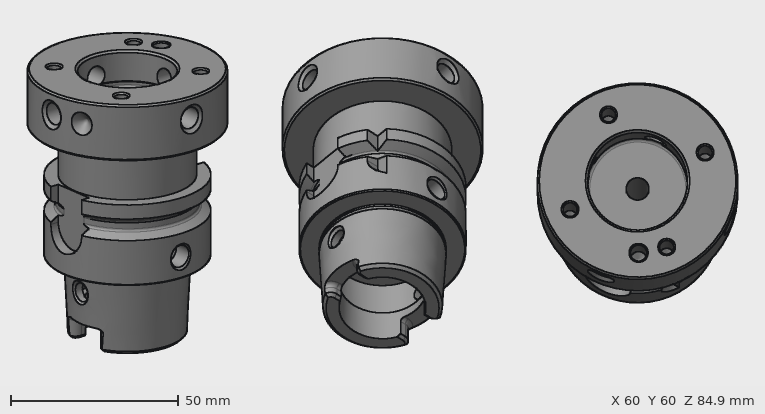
import cadquery as cq
import math


HEAD_TOP = 60.0
HEAD_RADIUS = 30.0
HEAD_THICKNESS = 18.0
HEAD_CHAMFER = 0.6
HEAD_BOTTOM = HEAD_TOP - HEAD_THICKNESS

NECK_RADIUS = 20.75
FLANGE_RADIUS = 25.0
FLANGE_HEIGHT = 26.0
FLANGE_CHAMFER = 0.4
GRIP_CENTER_Z = 18.0
GRIP_FLOOR_RADIUS = 21.6
GRIP_FLOOR_WIDTH = 3.0
GRIP_ANGLE = 30.0
GRIP_CORNER_RADIUS = 1.0

SHANK_LENGTH = 24.9
SHANK_GAUGE_RADIUS = 19.05
SHANK_GAUGE_Z = -2.0
SHANK_TAPER = 0.05
SHANK_END_CHAMFER = 1.0
RELIEF_RADIUS = 18.85
RELIEF_STEP = 0.7
RELIEF_TOP_RADIUS = 19.05
RELIEF_TOP_Z = -0.6
SHANK_END_RADIUS = SHANK_GAUGE_RADIUS - SHANK_TAPER * (SHANK_LENGTH + SHANK_GAUGE_Z)

COOLANT_RADIUS = 3.4
MOUTH_RADIUS = 13.0
CAVITY_RADIUS = 15.4
CAVITY_BOTTOM_Z = -14.0
CAVITY_TOP_Z = 0.0
BORE_RADIUS = 14.9
BORE_DEPTH = 12.0
BORE_CHAMFER = 0.7
UNDERCUT_RADIUS = 15.3
UNDERCUT_HEIGHT = 2.2
UNDERCUT_FILLET = 0.9

DRILL_POINT_ANGLE = 118.0
HOLE_CIRCLE_RADIUS = 22.0
BOLT_RADIUS = 2.1
BOLT_CHAMFER = 0.5
BOLT_DEPTH = 12.0
BOLT_ANGLES = (45.0, 135.0, 225.0, 315.0)
PIN_RADIUS = 2.45
PIN_CHAMFER = 0.4
PIN_DEPTH = 10.0
PIN_ANGLE = 112.5
SET_SCREW_Z = 52.8
SET_SCREW_RADIUS = 3.4
SET_SCREW_CHAMFER = 1.2
SET_SCREW_ANGLES = (0.0, 90.0, 180.0, 270.0)
DIMPLE_RADIUS = 3.65
DIMPLE_POINT_ANGLE = 90.0
DIMPLE_ANGLE = -67.5
FLANGE_HOLE_Z = 7.0
FLANGE_HOLE_RADIUS = 3.5
FLANGE_HOLE_CHAMFER = 0.7
FLANGE_HOLE_DEPTH = 6.5
FLANGE_HOLE_ANGLES = (0.0, 180.0)
ACCESS_HOLE_Z = -7.4
ACCESS_HOLE_RADIUS = 2.95
ACCESS_HOLE_CHAMFER = 0.9
ACCESS_HOLE_ANGLES = (90.0, 270.0)

KEYWAY_HALF_WIDTH = 7.1
KEYWAY_FLOOR = 21.1
KEYWAY_BOTTOM_Z = 6.9

NOTCH_WALL = 15.5
NOTCH_CUTTER_RADIUS = 6.0
NOTCH_CENTER_Z = 13.0

SLOT_HALF_WIDTH = 5.33
SLOT_FLAT = 16.3
SLOT_EDGE_RADIUS = 2.67
SLOT_FILLET = 1.3
SLOT_FLARE_ANGLE = 45.0
FRONT_SLOT_TOP_Z = -17.4
BACK_SLOT_TOP_Z = -20.4

CLEARANCE = 5.0


def make_outside():
    """Revolved outside: head disc, neck, gripper flange and taper shank."""
    grip_angle = math.radians(GRIP_ANGLE)
    half_floor = GRIP_FLOOR_WIDTH / 2
    half_mouth = half_floor + (FLANGE_RADIUS - GRIP_FLOOR_RADIUS) * math.tan(grip_angle)
    corner_tangent = GRIP_CORNER_RADIUS * math.tan((math.pi / 2 - grip_angle) / 2)
    wall_start_radius = GRIP_FLOOR_RADIUS + corner_tangent * math.cos(grip_angle)
    wall_start_half = half_floor + corner_tangent * math.sin(grip_angle)
    flat_half = half_floor - corner_tangent
    profile = (
        cq.Workplane("XZ")
        .moveTo(0, HEAD_TOP)
        .lineTo(HEAD_RADIUS - HEAD_CHAMFER, HEAD_TOP)
        .lineTo(HEAD_RADIUS, HEAD_TOP - HEAD_CHAMFER)
        .lineTo(HEAD_RADIUS, HEAD_BOTTOM + HEAD_CHAMFER)
        .lineTo(HEAD_RADIUS - HEAD_CHAMFER, HEAD_BOTTOM)
        .lineTo(NECK_RADIUS, HEAD_BOTTOM)
        .lineTo(NECK_RADIUS, FLANGE_HEIGHT)
        .lineTo(FLANGE_RADIUS, FLANGE_HEIGHT)
        .lineTo(FLANGE_RADIUS, GRIP_CENTER_Z + half_mouth)
        .lineTo(wall_start_radius, GRIP_CENTER_Z + wall_start_half)
        .radiusArc((GRIP_FLOOR_RADIUS, GRIP_CENTER_Z + flat_half), -GRIP_CORNER_RADIUS)
        .lineTo(GRIP_FLOOR_RADIUS, GRIP_CENTER_Z - flat_half)
        .radiusArc((wall_start_radius, GRIP_CENTER_Z - wall_start_half), -GRIP_CORNER_RADIUS)
        .lineTo(FLANGE_RADIUS, GRIP_CENTER_Z - half_mouth)
        .lineTo(FLANGE_RADIUS, FLANGE_CHAMFER)
        .lineTo(FLANGE_RADIUS - FLANGE_CHAMFER, 0)
        .lineTo(RELIEF_TOP_RADIUS, 0)
        .lineTo(RELIEF_RADIUS, RELIEF_TOP_Z)
        .lineTo(RELIEF_RADIUS, SHANK_GAUGE_Z + RELIEF_STEP)
        .lineTo(SHANK_GAUGE_RADIUS, SHANK_GAUGE_Z)
        .lineTo(SHANK_END_RADIUS, SHANK_END_CHAMFER - SHANK_LENGTH)
        .lineTo(SHANK_END_RADIUS - SHANK_END_CHAMFER, -SHANK_LENGTH)
        .lineTo(0, -SHANK_LENGTH)
        .close()
    )
    return profile.revolve(360, (0, 0, 0), (0, 1, 0))


def make_bar(radius, bottom_z, top_z):
    """Round bar on the part's axis."""
    return cq.Workplane("XY", origin=(0, 0, bottom_z)).circle(radius).extrude(top_z - bottom_z)


def make_openings():
    """Head bore with an undercut at its floor, coolant hole, and shank cavity behind a narrower mouth."""
    floor_z = HEAD_TOP - BORE_DEPTH
    undercut_top_z = floor_z + UNDERCUT_HEIGHT
    undercut_step = UNDERCUT_RADIUS - BORE_RADIUS
    bore = (
        cq.Workplane("XZ")
        .moveTo(0, HEAD_TOP)
        .lineTo(BORE_RADIUS + BORE_CHAMFER, HEAD_TOP)
        .lineTo(BORE_RADIUS, HEAD_TOP - BORE_CHAMFER)
        .lineTo(BORE_RADIUS, undercut_top_z)
        .lineTo(UNDERCUT_RADIUS, undercut_top_z - undercut_step)
        .lineTo(UNDERCUT_RADIUS, floor_z + UNDERCUT_FILLET)
        .radiusArc((UNDERCUT_RADIUS - UNDERCUT_FILLET, floor_z), UNDERCUT_FILLET)
        .lineTo(0, floor_z)
        .close()
        .revolve(360, (0, 0, 0), (0, 1, 0))
    )
    coolant = make_bar(COOLANT_RADIUS, -SHANK_LENGTH, floor_z)
    mouth = make_bar(MOUTH_RADIUS, -SHANK_LENGTH, CAVITY_BOTTOM_Z)
    cavity = make_bar(CAVITY_RADIUS, CAVITY_BOTTOM_Z, CAVITY_TOP_Z)
    return bore.union(coolant).union(mouth).union(cavity)


def make_drill(radius, depth, chamfer, point_angle):
    """Drill entering at Z = 0 and pointing down, with a chamfered mouth and a conical point."""
    point_height = radius / math.tan(math.radians(point_angle / 2))
    profile = (
        cq.Workplane("XZ")
        .moveTo(0, CLEARANCE)
        .lineTo(radius + chamfer, CLEARANCE)
        .lineTo(radius + chamfer, 0)
    )
    if chamfer > 0:
        profile = profile.lineTo(radius, -chamfer)
    if depth > chamfer:
        profile = profile.lineTo(radius, -depth)
    profile = profile.lineTo(0, -depth - point_height).close()
    return profile.revolve(360, (0, 0, 0), (0, 1, 0))


def place_axial(drill, angle):
    """Put a drill on the head's hole circle."""
    return drill.translate((HOLE_CIRCLE_RADIUS, 0, HEAD_TOP)).rotate((0, 0, 0), (0, 0, 1), angle)


def place_radial(drill, surface_radius, angle, z):
    """Aim a drill at the axis, entering through a round surface."""
    aimed = drill.rotate((0, 0, 0), (0, 1, 0), 90)
    return aimed.translate((surface_radius, 0, z)).rotate((0, 0, 0), (0, 0, 1), angle)


def make_holes():
    """All drilled holes of the head, flange and shank."""
    bolt = make_drill(BOLT_RADIUS, BOLT_DEPTH, BOLT_CHAMFER, DRILL_POINT_ANGLE)
    pin = make_drill(PIN_RADIUS, PIN_DEPTH, PIN_CHAMFER, DRILL_POINT_ANGLE)
    dimple = make_drill(DIMPLE_RADIUS, 0, 0, DIMPLE_POINT_ANGLE)
    set_screw = make_drill(
        SET_SCREW_RADIUS, HEAD_RADIUS - BORE_RADIUS / 2, SET_SCREW_CHAMFER, DRILL_POINT_ANGLE
    )
    flange_hole = make_drill(
        FLANGE_HOLE_RADIUS, FLANGE_HOLE_DEPTH, FLANGE_HOLE_CHAMFER, DRILL_POINT_ANGLE
    )
    shank_radius = SHANK_GAUGE_RADIUS - SHANK_TAPER * (SHANK_GAUGE_Z - ACCESS_HOLE_Z)
    access = make_drill(
        ACCESS_HOLE_RADIUS, shank_radius - CAVITY_RADIUS / 2, ACCESS_HOLE_CHAMFER, DRILL_POINT_ANGLE
    )
    holes = [place_axial(bolt, angle) for angle in BOLT_ANGLES]
    holes.append(place_axial(pin, PIN_ANGLE))
    holes.append(place_radial(dimple, HEAD_RADIUS, DIMPLE_ANGLE, SET_SCREW_Z))
    for angle in SET_SCREW_ANGLES:
        holes.append(place_radial(set_screw, HEAD_RADIUS, angle, SET_SCREW_Z))
    for angle in FLANGE_HOLE_ANGLES:
        holes.append(place_radial(flange_hole, FLANGE_RADIUS, angle, FLANGE_HOLE_Z))
    for angle in ACCESS_HOLE_ANGLES:
        holes.append(place_radial(access, shank_radius, angle, ACCESS_HOLE_Z))
    return holes


def make_keyway():
    """Round-ended flange keyway on the -Y side, open at the flange top."""
    center_z = KEYWAY_BOTTOM_Z + KEYWAY_HALF_WIDTH
    return (
        cq.Workplane("XZ", origin=(0, -KEYWAY_FLOOR, 0))
        .moveTo(-KEYWAY_HALF_WIDTH, FLANGE_HEIGHT)
        .lineTo(-KEYWAY_HALF_WIDTH, center_z)
        .threePointArc((0, KEYWAY_BOTTOM_Z), (KEYWAY_HALF_WIDTH, center_z))
        .lineTo(KEYWAY_HALF_WIDTH, FLANGE_HEIGHT)
        .close()
        .extrude(CLEARANCE)
    )


def make_notch():
    """Square-cornered flange notch whose lower end is a quarter round about Y."""
    wall_x = -NOTCH_WALL
    center_x = wall_x - NOTCH_CUTTER_RADIUS
    return (
        cq.Workplane("XZ", origin=(0, NOTCH_WALL, 0))
        .moveTo(wall_x, FLANGE_HEIGHT)
        .lineTo(wall_x, NOTCH_CENTER_Z)
        .radiusArc((center_x, NOTCH_CENTER_Z - NOTCH_CUTTER_RADIUS), NOTCH_CUTTER_RADIUS)
        .lineTo(center_x - CLEARANCE, NOTCH_CENTER_Z - NOTCH_CUTTER_RADIUS)
        .lineTo(center_x - CLEARANCE, FLANGE_HEIGHT)
        .close()
        .extrude(-FLANGE_RADIUS)
    )


def draw_drive_slot(z):
    """Plan outline of the -Y drive slot: a flat with rounded shoulders leading into a slot."""
    shoulder_x = SLOT_HALF_WIDTH + SLOT_EDGE_RADIUS
    shoulder_y = -SLOT_FLAT + SLOT_EDGE_RADIUS
    outer_x = SHANK_END_RADIUS
    outer_y = -SHANK_GAUGE_RADIUS - CLEARANCE
    inner_y = -MOUTH_RADIUS / 2
    half_root = SLOT_EDGE_RADIUS * math.sqrt(0.5)
    middle_x = shoulder_x - half_root
    middle_y = shoulder_y - half_root
    return (
        cq.Workplane("XY", origin=(0, 0, z))
        .moveTo(-outer_x, outer_y)
        .lineTo(-outer_x, -SLOT_FLAT)
        .lineTo(-shoulder_x, -SLOT_FLAT)
        .threePointArc((-middle_x, middle_y), (-SLOT_HALF_WIDTH, shoulder_y))
        .lineTo(-SLOT_HALF_WIDTH, inner_y)
        .lineTo(SLOT_HALF_WIDTH, inner_y)
        .lineTo(SLOT_HALF_WIDTH, shoulder_y)
        .threePointArc((middle_x, middle_y), (shoulder_x, -SLOT_FLAT))
        .lineTo(outer_x, -SLOT_FLAT)
        .lineTo(outer_x, outer_y)
        .close()
    )


def make_drive_slot(top_z):
    """Drive slot cutter with a rounded top edge and a 45 degree flare at the shank end."""
    slot = draw_drive_slot(top_z).extrude(-SHANK_LENGTH - top_z)
    slot = slot.faces(">Z").edges().fillet(SLOT_FILLET)
    flare = draw_drive_slot(-SHANK_LENGTH).offset2D(SHANK_END_CHAMFER, "intersection")
    return slot.union(flare.extrude(SHANK_END_CHAMFER, taper=SLOT_FLARE_ANGLE))


def turn_half(cutter):
    """Carry a cutter from the -Y side to the +Y side."""
    return cutter.rotate((0, 0, 0), (0, 0, 1), 180)


body = make_outside().cut(make_openings())
body = body.cut(make_drive_slot(FRONT_SLOT_TOP_Z)).cut(turn_half(make_drive_slot(BACK_SLOT_TOP_Z)))
body = body.cut(make_keyway()).cut(turn_half(make_keyway())).cut(make_notch())
for hole in make_holes():
    body = body.cut(hole)

result = body